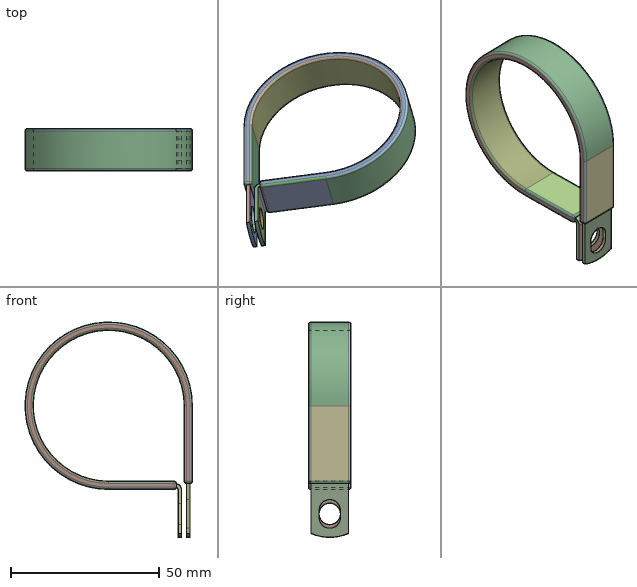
import cadquery as cq
import math

loop_bore = 50.8
band_thickness = 1.219
band_width = 12.7
cushion_thickness = 0.794
cushion_width = band_width + 2 * cushion_thickness

bore_radius = loop_bore / 2
band_inner_radius = bore_radius + cushion_thickness
band_outer_radius = band_inner_radius + band_thickness
cushion_outer_radius = band_outer_radius + cushion_thickness

overall_height = 72.58
tab_bottom = cushion_outer_radius - overall_height
tab_gap = 2 * cushion_thickness
bend_inner_radius = 1.03
bend_outer_radius = bend_inner_radius + band_thickness
bent_tab_outer_x = band_inner_radius - tab_gap
bent_tab_inner_x = bent_tab_outer_x - band_thickness
tab_end_radius = 15.875
bolt_hole_diameter = 7.144
bolt_slot_length = 9.65
bolt_hole_height = 7.9375
bolt_hole_z = tab_bottom + bolt_hole_height

upright_cushion_end_z = -band_inner_radius
bottom_cushion_end_x = 22.77

loop_middle_angle = 135
bend_middle_angle = 45


def point_on_circle(radius, angle):
    """Point in the XZ plane at an angle in degrees from +X towards +Z."""
    return radius * math.cos(math.radians(angle)), radius * math.sin(math.radians(angle))


def make_cushion():
    """Cushion round the loop and its two straight legs, all outer edges rounded."""
    outer, inner = cushion_outer_radius, bore_radius
    return (
        cq.Workplane("XZ")
        .moveTo(outer, upright_cushion_end_z)
        .lineTo(outer, 0)
        .threePointArc(point_on_circle(outer, loop_middle_angle), (0, -outer))
        .lineTo(bottom_cushion_end_x, -outer)
        .lineTo(bottom_cushion_end_x, -inner)
        .lineTo(0, -inner)
        .threePointArc(point_on_circle(inner, loop_middle_angle), (inner, 0))
        .lineTo(inner, upright_cushion_end_z)
        .close()
        .extrude(cushion_width / 2, both=True)
        .edges()
        .fillet(cushion_thickness)
    )


def make_band():
    """Steel band: straight tab, loop, bottom leg and a tab bent down beside the first."""
    outer, inner = band_outer_radius, band_inner_radius
    bend_x = bent_tab_outer_x - bend_outer_radius
    bend_z = -inner - bend_outer_radius

    def bend_middle(radius):
        """Middle point of the bend arc of the given radius."""
        x, z = point_on_circle(radius, bend_middle_angle)
        return bend_x + x, bend_z + z

    return (
        cq.Workplane("XZ")
        .moveTo(outer, tab_bottom)
        .lineTo(outer, 0)
        .threePointArc(point_on_circle(outer, loop_middle_angle), (0, -outer))
        .lineTo(bend_x, -outer)
        .threePointArc(bend_middle(bend_inner_radius), (bent_tab_inner_x, bend_z))
        .lineTo(bent_tab_inner_x, tab_bottom)
        .lineTo(bent_tab_outer_x, tab_bottom)
        .lineTo(bent_tab_outer_x, bend_z)
        .threePointArc(bend_middle(bend_outer_radius), (bend_x, -inner))
        .lineTo(0, -inner)
        .threePointArc(point_on_circle(inner, loop_middle_angle), (inner, 0))
        .lineTo(inner, tab_bottom)
        .close()
        .extrude(band_width / 2, both=True)
    )


def make_tab_end_trim():
    """Material to remove below the tabs so that both end in a shallow arc."""
    half_width = band_width / 2
    sagitta = tab_end_radius - math.sqrt(tab_end_radius**2 - half_width**2)
    corner_z = tab_bottom + sagitta
    return (
        cq.Workplane("YZ")
        .moveTo(-half_width, corner_z)
        .threePointArc((0, tab_bottom), (half_width, corner_z))
        .lineTo(half_width, tab_bottom)
        .lineTo(-half_width, tab_bottom)
        .close()
        .extrude(cushion_outer_radius)
    )


def make_bolt_hole():
    """Round bolt hole through the bent tab."""
    return (
        cq.Workplane("YZ")
        .center(0, bolt_hole_z)
        .circle(bolt_hole_diameter / 2)
        .extrude(bent_tab_outer_x)
    )


def make_bolt_slot():
    """Upright slot through the straight tab, concentric with the bolt hole."""
    upright = 90
    return (
        cq.Workplane("YZ", origin=(band_inner_radius, 0, bolt_hole_z))
        .slot2D(bolt_slot_length, bolt_hole_diameter, upright)
        .extrude(band_thickness)
    )


band = make_band().cut(make_tab_end_trim()).cut(make_bolt_hole()).cut(make_bolt_slot())
result = band.union(make_cushion())